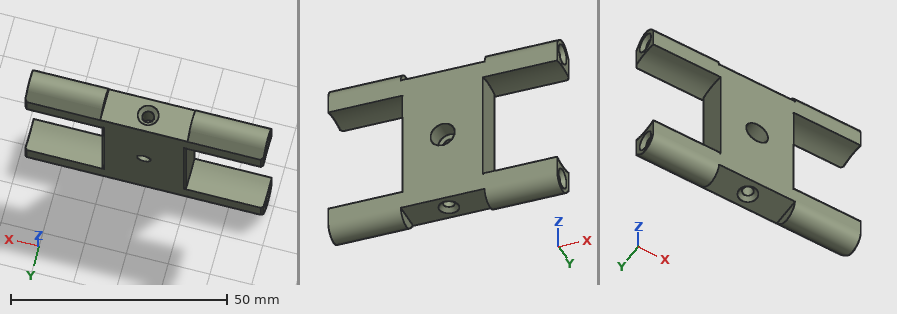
import cadquery as cq
import math

LENGTH = 57.0
DEPTH = 8.0
HEIGHT = 42.0

RAIL_RADIUS = 3.5
WINDOW_RADIUS = 14.0
BACK_CHAMFER = 0.5

WEB_WIDTH = 20.05
FLAT_WIDTH = 20.85
FLAT_DEPTH = 3.0

PILOT_DIAMETER = 2.75
SINK_DIAMETER = 4.85
PILOT_DEPTH = 6.85
CENTER_DIAMETER = 3.25
CENTER_BORE_DIAMETER = 6.0
CENTER_BORE_DEPTH = 4.55

FRONT_Y = -DEPTH / 2
BACK_Y = DEPTH / 2
RAIL_Y = FRONT_Y + RAIL_RADIUS
RAIL_Z = HEIGHT / 2 - RAIL_RADIUS


def end_profile():
    """Side outline: a rounded front corner and a 45 degree slope to the back at both ends."""
    diagonal = RAIL_RADIUS * math.sqrt(0.5)
    slope_y = RAIL_Y + diagonal
    slope_z = RAIL_Z + diagonal
    back_z = slope_z - (BACK_Y - slope_y)
    crown = HEIGHT / 2
    return (
        cq.Workplane("YZ")
        .moveTo(FRONT_Y, -RAIL_Z)
        .lineTo(FRONT_Y, RAIL_Z)
        .threePointArc((RAIL_Y, crown), (slope_y, slope_z))
        .lineTo(BACK_Y, back_z)
        .lineTo(BACK_Y, -back_z)
        .lineTo(slope_y, -slope_z)
        .threePointArc((RAIL_Y, -crown), (FRONT_Y, -RAIL_Z))
        .close()
    )


def blank():
    """Full-length block with the vertical back edge chamfered at each end."""
    body = end_profile().extrude(LENGTH / 2, both=True)
    outline = (
        cq.Workplane("XY")
        .box(LENGTH, DEPTH, HEIGHT)
        .edges("|Z and >Y")
        .chamfer(BACK_CHAMFER)
    )
    return body.intersect(outline)


def side_window(side):
    """Opening beside the web, with cylindrical upper and lower walls and a chamfered web back edge."""
    web_face = WEB_WIDTH / 2
    plan = [
        (side * web_face, FRONT_Y),
        (side * web_face, BACK_Y - BACK_CHAMFER),
        (side * (web_face - BACK_CHAMFER), BACK_Y),
        (side * LENGTH / 2, BACK_Y),
        (side * LENGTH / 2, FRONT_Y),
    ]
    opening = cq.Workplane("XY").polyline(plan).close().extrude(HEIGHT / 2, both=True)
    cylinder = cq.Workplane("YZ", origin=(0, RAIL_Y, 0)).circle(WINDOW_RADIUS).extrude(side * LENGTH / 2)
    return opening.intersect(cylinder)


def flat_cut(side):
    """Block that levels the middle of a rail."""
    center_z = side * (HEIGHT - FLAT_DEPTH) / 2
    return cq.Workplane("XY").box(FLAT_WIDTH, DEPTH, FLAT_DEPTH).translate((0, 0, center_z))


def sunk_hole(mouth, direction):
    """Blind pilot hole with a 45 degree countersink, running from its mouth along direction."""
    point = cq.Vector(*mouth)
    axis = cq.Vector(*direction)
    pilot_radius = PILOT_DIAMETER / 2
    sink_radius = SINK_DIAMETER / 2
    sink_depth = sink_radius - pilot_radius
    pilot = cq.Solid.makeCylinder(pilot_radius, PILOT_DEPTH, point, axis)
    sink = cq.Solid.makeCone(sink_radius, pilot_radius, sink_depth, point, axis)
    return cq.Workplane(pilot.fuse(sink))


def center_hole():
    """Through hole in the web, counterbored from the front."""
    front = cq.Workplane("XZ", origin=(0, FRONT_Y, 0))
    through = front.circle(CENTER_DIAMETER / 2).extrude(-DEPTH)
    bore = front.circle(CENTER_BORE_DIAMETER / 2).extrude(-CENTER_BORE_DEPTH)
    return through.union(bore)


result = blank().cut(center_hole())
for side in (-1, 1):
    result = result.cut(side_window(side)).cut(flat_cut(side))

    flat_z = side * (HEIGHT / 2 - FLAT_DEPTH)
    result = result.cut(sunk_hole((0, 0, flat_z), (0, 0, -side)))

    for end in (-1, 1):
        mouth = (end * LENGTH / 2, RAIL_Y, side * RAIL_Z)
        result = result.cut(sunk_hole(mouth, (-end, 0, 0)))